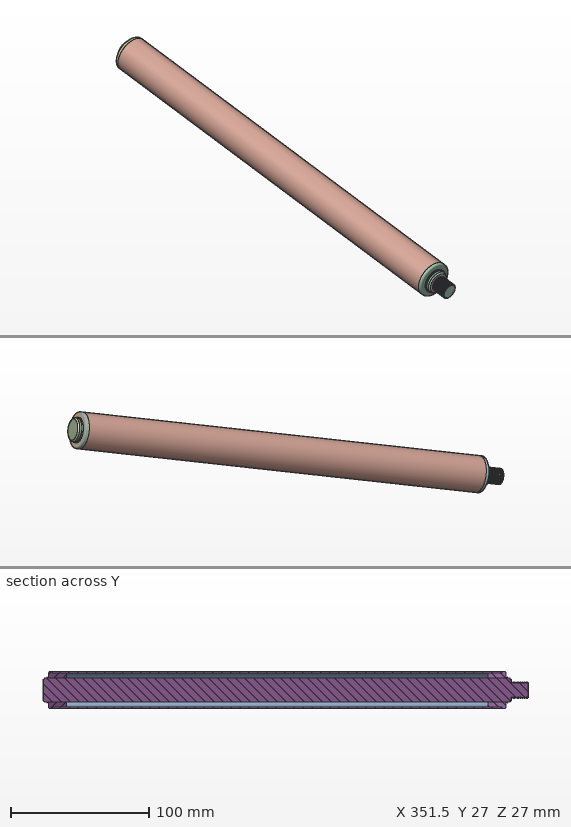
import cadquery as cq

TOTAL_LENGTH = 351.5
ROLLER_DIAMETER = 27.0

SHAFT_DIAMETER = 17.5
SHAFT_CHAMFER = 1.0

STUD_LENGTH = 12.3
THREAD_DIAMETER = 12.0
THREAD_DEPTH = 0.7
THREAD_TURNS = 13

CAP_SETBACK = 4.0
CAP_RIM_WIDTH = 2.65
CAP_FILLET = 1.0
CAP_COLLAR_DIAMETER = 18.5
CAP_COLLAR_HEIGHT = 1.0
CAP_SPIGOT_LENGTH = 10.5

TUBE_WALL = 1.5

SHOULDER_X = TOTAL_LENGTH - STUD_LENGTH
TUBE_START = CAP_SETBACK + CAP_RIM_WIDTH
TUBE_END = SHOULDER_X - TUBE_START
TUBE_BORE = ROLLER_DIAMETER - 2 * TUBE_WALL


def cylinder(start, end, diameter):
    """Solid cylinder about the X axis between two X positions."""
    return cq.Workplane("YZ", origin=(start, 0, 0)).circle(diameter / 2).extrude(end - start)


def make_tube():
    """Roller shell that spans the gap between the two cap rims."""
    return cylinder(TUBE_START, TUBE_END, ROLLER_DIAMETER).cut(cylinder(TUBE_START, TUBE_END, TUBE_BORE))


def make_cap():
    """End cap at the plain end: rounded rim, thin collar outside and a spigot inside the tube."""
    rim = cylinder(CAP_SETBACK, TUBE_START, ROLLER_DIAMETER).faces("<X").edges().fillet(CAP_FILLET)
    collar = cylinder(CAP_SETBACK - CAP_COLLAR_HEIGHT, CAP_SETBACK, CAP_COLLAR_DIAMETER)
    spigot = cylinder(TUBE_START, TUBE_START + CAP_SPIGOT_LENGTH, TUBE_BORE)
    shaft_hole = cylinder(0, SHOULDER_X, SHAFT_DIAMETER)
    return rim.union(collar).union(spigot).cut(shaft_hole)


def make_stud():
    """Stud with ring-shaped threads of V profile."""
    pitch = STUD_LENGTH / THREAD_TURNS
    crest_radius = THREAD_DIAMETER / 2
    root_radius = crest_radius - THREAD_DEPTH
    profile = [(SHOULDER_X, 0), (SHOULDER_X, root_radius)]
    for turn in range(THREAD_TURNS):
        turn_start = SHOULDER_X + turn * pitch
        profile += [
            (turn_start + pitch / 2, crest_radius),
            (turn_start + pitch, root_radius),
        ]
    profile.append((TOTAL_LENGTH, 0))
    return cq.Workplane("XZ").polyline(profile).close().revolve(360, (0, 0, 0), (1, 0, 0))


def make_shaft():
    """Shaft with both ends chamfered, carrying the threaded stud at its +X end."""
    body = cylinder(0, SHOULDER_X, SHAFT_DIAMETER).faces("<X or >X").edges().chamfer(SHAFT_CHAMFER)
    return body.union(make_stud())


tube = make_tube()
shaft = make_shaft()
plain_end_cap = make_cap()
stud_end_cap = plain_end_cap.mirror("YZ", (SHOULDER_X / 2, 0, 0))

result = cq.Compound.makeCompound([tube.val(), shaft.val(), plain_end_cap.val(), stud_end_cap.val()])